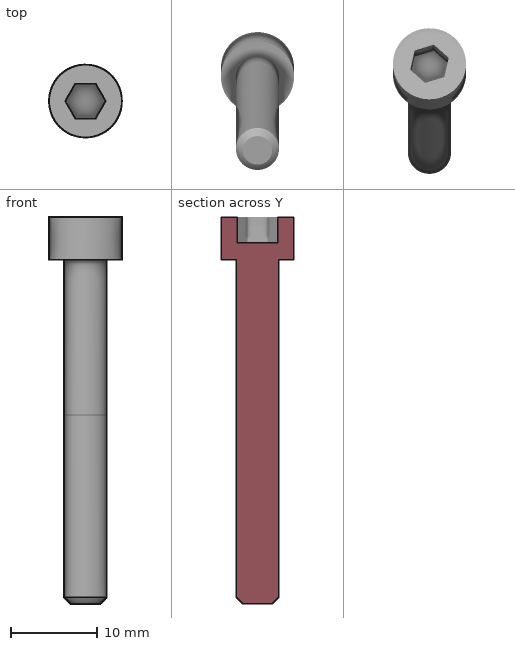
import cadquery as cq
import math


head_diameter = 8.5
head_height = 5.0

socket_across_flats = 4.06
socket_depth = 3.0
socket_across_corners = socket_across_flats / math.cos(math.pi / 6)

shank_diameter = 5.0
shank_length = 40.0
thread_length = 22.0
grip_length = shank_length - thread_length
tip_chamfer = 0.8


def make_head():
    return cq.Workplane("XY").circle(head_diameter / 2).extrude(head_height)


def make_grip():
    return cq.Workplane("XY").circle(shank_diameter / 2).extrude(-grip_length)


def make_thread():
    thread = (
        cq.Workplane("XY")
        .workplane(offset=-grip_length)
        .circle(shank_diameter / 2)
        .extrude(-thread_length)
    )
    return thread.faces("<Z").chamfer(tip_chamfer)


def make_socket():
    return (
        cq.Workplane("XY")
        .workplane(offset=head_height)
        .polygon(6, socket_across_corners)
        .extrude(-socket_depth)
    )


screw = make_head().cut(make_socket()).union(make_grip())
result = screw.union(make_thread(), clean=False)